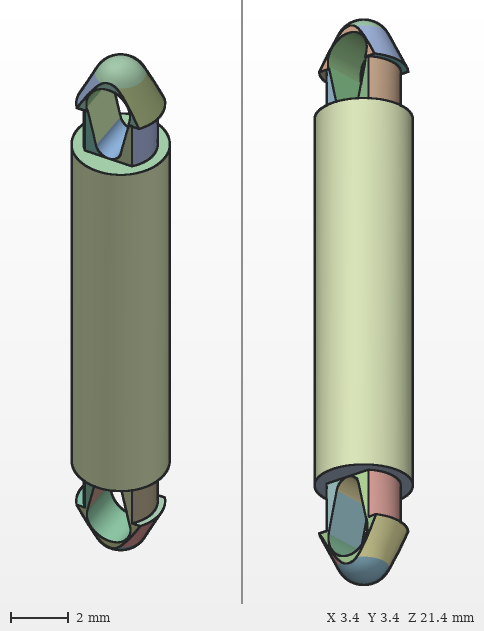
import cadquery as cq
import math

total_length = 21.4
body_diameter = 3.4
snap_length = 3.7
body_half = total_length / 2 - snap_length
tip_z = total_length / 2

stem_radius = 1.28
stem_half_width = 0.9
barb_z = body_half + 1.8
barb_radius = 1.55
dome_radius = 0.98
top_barb_half_width = 0.95
bottom_barb_half_width = stem_half_width
tip_half_width = 0.8

slot_wide_radius = 0.85
slot_narrow_radius = 0.5
slot_end_wall = 0.73
slot_wide_z = tip_z - slot_end_wall - slot_wide_radius
slot_narrow_z = body_half + slot_narrow_radius


def make_stem():
    """Round stem with two flats facing +Y and -Y."""
    length = barb_z - body_half
    stem = cq.Workplane("XY").workplane(offset=body_half).circle(stem_radius).extrude(length)
    flats = (
        cq.Workplane("XY").workplane(offset=body_half)
        .rect(2 * stem_radius, 2 * stem_half_width).extrude(length)
    )
    return stem.intersect(flats)


def make_head(barb_half_width):
    """Cone running tangentially into a spherical tip, between two converging flats."""
    centre_z = tip_z - dome_radius
    drop = centre_z - barb_z
    tangent_angle = (
        math.acos(dome_radius / math.hypot(barb_radius, drop)) - math.atan2(drop, barb_radius)
    )

    def dome_point(angle):
        return (dome_radius * math.cos(angle), centre_z + dome_radius * math.sin(angle))

    middle_angle = (tangent_angle + math.pi / 2) / 2
    head = (
        cq.Workplane("XZ").moveTo(0, barb_z).lineTo(barb_radius, barb_z)
        .lineTo(*dome_point(tangent_angle))
        .threePointArc(dome_point(middle_angle), (0, tip_z))
        .close().revolve(360, (0, 0), (0, 1))
    )
    flats = (
        cq.Workplane("YZ")
        .polyline([
            (-barb_half_width, barb_z),
            (barb_half_width, barb_z),
            (tip_half_width, tip_z),
            (-tip_half_width, tip_z),
        ])
        .close().extrude(barb_radius, both=True)
    )
    return head.intersect(flats)


def make_slot():
    """Teardrop cutter along Y: two arcs joined by their common tangents."""
    slope = math.asin((slot_wide_radius - slot_narrow_radius) / (slot_wide_z - slot_narrow_z))
    across = math.cos(slope)
    down = math.sin(slope)
    wide_x = slot_wide_radius * across
    wide_z = slot_wide_z - slot_wide_radius * down
    narrow_x = slot_narrow_radius * across
    narrow_z = slot_narrow_z - slot_narrow_radius * down
    return (
        cq.Workplane("XZ").moveTo(-wide_x, wide_z)
        .threePointArc((0, slot_wide_z + slot_wide_radius), (wide_x, wide_z))
        .lineTo(narrow_x, narrow_z)
        .threePointArc((0, body_half), (-narrow_x, narrow_z))
        .close().extrude(body_diameter, both=True)
    )


def make_snap_end(barb_half_width):
    """Complete upper snap end: stem and head split by the slot."""
    return make_stem().union(make_head(barb_half_width)).cut(make_slot())


body = cq.Workplane("XY").workplane(offset=-body_half).circle(body_diameter / 2).extrude(2 * body_half)
top_end = make_snap_end(top_barb_half_width)
bottom_end = make_snap_end(bottom_barb_half_width).mirror("XY")
result = body.union(top_end).union(bottom_end)